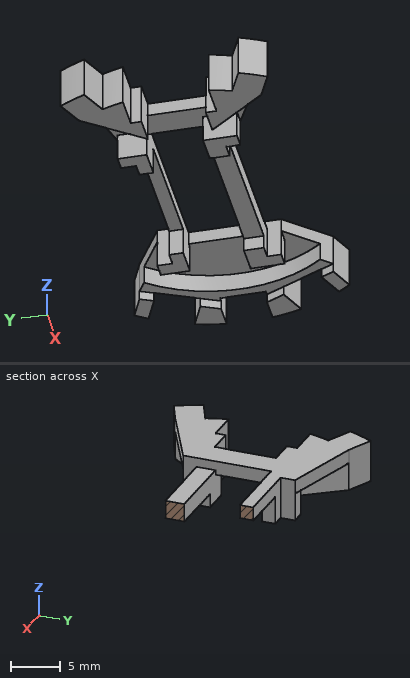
import cadquery as cq
import math

height = 4.5
plate_bottom = 3.0
rim_bottom = 1.0
front_bar_bottom = 1.5
front_bar_top = 3.5

window_half_length = 9.1
front_bar_inner_y = -2.0
front_bar_outer_y = -4.05
back_bar_inner_y = 4.0
back_bar_outer_y = 5.45
front_corner_y = -5.5
back_corner_x = 8.1
back_corner_y = 7.0

post_length = 3.0
front_post_inner_x = 7.65
back_post_inner_x = 6.65

tooth_tip_radius = 19.0
rim_inner_radius = 14.9
slot_floor = 15.9
slot_width = 4.7
slot_angle = 23.85
outer_tooth_thickness = 1.5

leg_radius = 19.0
end_block_radius = 22.0
end_block_width = 3.0
end_block_angle = 25.0
leg_step_x = -15.0
leg_inner_x = -12.1
leg_gap_half_outer = 4.4
leg_gap_half_inner = 3.3


def ray_point(along, across, angle):
    """Point at a distance along and across a ray that leaves the origin at the given angle."""
    a = math.radians(angle)
    x = along * math.cos(a) - across * math.sin(a)
    y = along * math.sin(a) + across * math.cos(a)
    return x, y


def on_circle(radius, across, angle):
    """Point on a circle, offset sideways from the ray at the given angle."""
    return ray_point(math.sqrt(radius**2 - across**2), across, angle)


def arc_middle(start, end):
    """Middle of the short origin-centred arc between two points."""
    radius = math.hypot(*start)
    sum_x = start[0] + end[0]
    sum_y = start[1] + end[1]
    scale = radius / math.hypot(sum_x, sum_y)
    return sum_x * scale, sum_y * scale


def mirror_y(point):
    return point[0], -point[1]


def mirror_x(point):
    return -point[0], point[1]


def box(x0, x1, y0, y1, z0, z1):
    return cq.Workplane("XY").box(x1 - x0, y1 - y0, z1 - z0, centered=False).translate((x0, y0, z0))


def prism(points, z0, z1):
    return cq.Workplane("XY", origin=(0, 0, z0)).polyline(points).close().extrude(z1 - z0)


def turned(body, angle):
    """Body rotated about the Z axis."""
    return body.rotate((0, 0, 0), (0, 0, 1), angle)


front_corner = (window_half_length, front_corner_y)
back_corner = (back_corner_x, back_corner_y)
back_window_corner = (window_half_length, back_bar_inner_y)
back_bar_end = (back_corner_x, back_bar_inner_y)


def right_wing_blank():
    """Full-height sector, before the slots and the underside are cut."""
    edge_offset = slot_width / 2 + outer_tooth_thickness
    bend = ray_point(slot_floor, edge_offset, slot_angle)
    tip = on_circle(tooth_tip_radius, edge_offset, slot_angle)
    return (
        cq.Workplane("XY")
        .moveTo(*back_window_corner)
        .lineTo(*back_bar_end)
        .lineTo(*back_corner)
        .lineTo(*bend)
        .lineTo(*tip)
        .threePointArc((tooth_tip_radius, 0), mirror_y(tip))
        .lineTo(*mirror_y(bend))
        .lineTo(*front_corner)
        .close()
        .extrude(height)
    )


def right_wing():
    wing = right_wing_blank()

    wing = wing.cut(cq.Workplane("XY").circle(rim_inner_radius).extrude(plate_bottom))

    inside_floor = box(0, slot_floor, -tooth_tip_radius, tooth_tip_radius, 0, rim_bottom)
    back_quarter = box(0, tooth_tip_radius, 0, tooth_tip_radius, 0, rim_bottom)
    back_undercut = turned(inside_floor, slot_angle).intersect(back_quarter)
    wing = wing.cut(back_undercut).cut(back_undercut.mirror("XZ"))

    slot = box(slot_floor, tooth_tip_radius + slot_width, -slot_width / 2, slot_width / 2, 0, height)
    for angle in (-slot_angle, 0, slot_angle):
        wing = wing.cut(turned(slot, angle))
    return wing


half_block = end_block_width / 2
block_angle = 180 - end_block_angle
leg_bend = on_circle(leg_radius, -half_block, block_angle)
block_outer_tip = on_circle(end_block_radius, -half_block, block_angle)
block_inner_tip = on_circle(end_block_radius, half_block, block_angle)
block_root = on_circle(leg_radius, half_block, block_angle)
leg_toe = (-math.sqrt(leg_radius**2 - leg_gap_half_outer**2), leg_gap_half_outer)
leg_inner_corner = (leg_inner_x, leg_gap_half_inner)


def back_leg():
    """Full-height leg behind the gap; its inner wall is straight from the bend to the gap corner."""
    return (
        cq.Workplane("XY")
        .moveTo(*leg_bend)
        .lineTo(*block_outer_tip)
        .threePointArc(arc_middle(block_outer_tip, block_inner_tip), block_inner_tip)
        .lineTo(*block_root)
        .threePointArc(arc_middle(block_root, leg_toe), leg_toe)
        .lineTo(leg_step_x, leg_gap_half_outer)
        .lineTo(leg_step_x, leg_gap_half_inner)
        .lineTo(*leg_inner_corner)
        .close()
        .extrude(height)
    )


def left_wing():
    plate_outline = [
        mirror_x(back_window_corner),
        mirror_x(back_bar_end),
        mirror_x(back_corner),
        leg_bend,
        leg_inner_corner,
        mirror_y(leg_inner_corner),
        mirror_y(leg_bend),
        mirror_x(front_corner),
    ]
    leg = back_leg()
    return prism(plate_outline, plate_bottom, height).union(leg).union(leg.mirror("XZ"))


def bars():
    left = -window_half_length
    right = window_half_length
    front = box(left, right, front_bar_outer_y, front_bar_inner_y, front_bar_bottom, front_bar_top)
    back = box(left, right, back_bar_inner_y, back_bar_outer_y, plate_bottom, height)
    return front.union(back)


def right_posts():
    """Stepped posts, narrow under the bars and wider under the right wing plate."""
    front_outer_x = front_post_inner_x + post_length
    front_outline = [
        (front_post_inner_x, front_bar_inner_y),
        (front_outer_x, front_bar_inner_y),
        (front_outer_x, front_corner_y),
        front_corner,
        (window_half_length, front_bar_outer_y),
        (front_post_inner_x, front_bar_outer_y),
    ]
    back_outer_x = back_post_inner_x + post_length
    back_outline = [
        (back_post_inner_x, back_bar_inner_y),
        (back_outer_x, back_bar_inner_y),
        (back_outer_x, back_corner_y),
        back_corner,
        (back_corner_x, back_bar_outer_y),
        (back_post_inner_x, back_bar_outer_y),
    ]
    return prism(front_outline, 0, plate_bottom).union(prism(back_outline, 0, plate_bottom))


posts = right_posts()
result = right_wing().union(left_wing()).union(bars()).union(posts).union(posts.mirror("YZ")).clean()